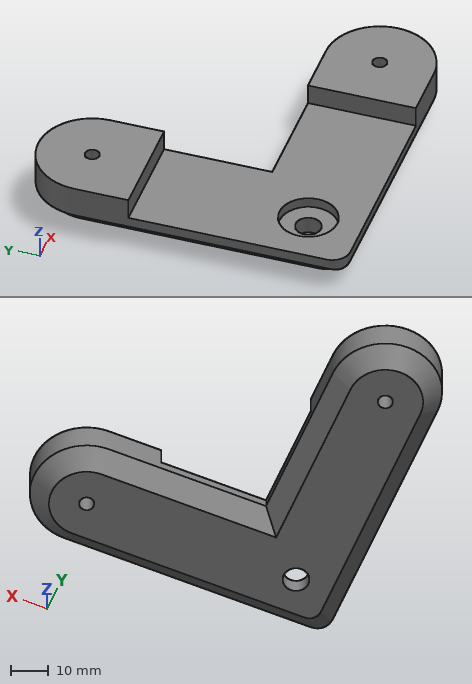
import cadquery as cq

length = 90.0
height = 14.0
arm_width = length / 3
end_radius = arm_width / 2
pad_length = arm_width
pad_height = 6.0
chamfer_size = 5.0
corner_radius = 5.0

corner_hole_diameter = 7.0
counterbore_diameter = 16.0
counterbore_depth = 3.0
end_hole_diameter = 4.0

floor_height = height - pad_height
end_center = length - end_radius
pad_start = length - pad_length
corner_center = (end_radius, end_radius)
end_centers = [(end_center, end_radius), (end_radius, end_center)]


def make_body():
    """L-shaped plate with round arm ends and a chamfered bottom edge."""
    plate = (
        cq.Workplane("XY")
        .moveTo(0, 0)
        .lineTo(end_center, 0)
        .threePointArc((length, end_radius), (end_center, arm_width))
        .lineTo(arm_width, arm_width)
        .lineTo(arm_width, end_center)
        .threePointArc((end_radius, length), (0, end_center))
        .close()
        .extrude(height)
    )
    return plate.faces("<Z").chamfer(chamfer_size)


def make_recess():
    """Block that lowers the corner and arms, leaving a raised pad at each end."""
    return (
        cq.Workplane("XY")
        .workplane(offset=floor_height)
        .rect(pad_start, pad_start, centered=False)
        .extrude(pad_height)
    )


def make_rounded_slopes():
    """Block flaring upwards at 45 degrees along the chamfers, with the edge between its two slopes rounded."""
    block = (
        cq.Workplane("XY")
        .rect(2 * length, 2 * length)
        .workplane(offset=height)
        .rect(2 * (length + height), 2 * (length + height))
        .loft(ruled=True)
        .translate((length + chamfer_size, length + chamfer_size, 0))
    )
    edge_middle = (chamfer_size - height / 2, chamfer_size - height / 2, height / 2)
    return block.edges(cq.selectors.NearestToPointSelector(edge_middle)).fillet(corner_radius)


body = make_body().cut(make_recess())

upright_edge_point = (0, 0, (chamfer_size + floor_height) / 2)
body = body.edges(cq.selectors.NearestToPointSelector(upright_edge_point)).fillet(corner_radius)
body = body.intersect(make_rounded_slopes())

result = (
    body.copyWorkplane(cq.Workplane("XY", origin=(*corner_center, floor_height)))
    .cboreHole(corner_hole_diameter, counterbore_diameter, counterbore_depth)
    .copyWorkplane(cq.Workplane("XY", origin=(0, 0, height)))
    .pushPoints(end_centers)
    .hole(end_hole_diameter)
)